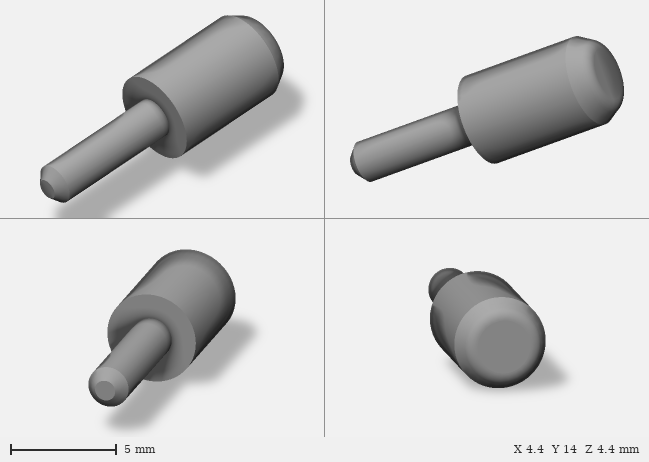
import cadquery as cq
import math


head_diameter = 4.4
head_length = 7.0
taper_length = 1.0
taper_angle = 30.0
nose_radius = 0.6

shank_diameter = 2.0
shank_length = 7.0
tip_chamfer = 0.5


def make_head():
    """Cylinder with a tapered lead-in that is rounded into its flat end."""
    head_radius = head_diameter / 2
    taper_depth = taper_length * math.tan(math.radians(taper_angle))
    flat_end_radius = head_radius - taper_depth
    profile = (
        cq.Workplane("XY")
        .moveTo(0, 0)
        .lineTo(head_radius, 0)
        .lineTo(head_radius, head_length - taper_length)
        .lineTo(flat_end_radius, head_length)
        .lineTo(0, head_length)
        .close()
    )
    head = profile.revolve(360, (0, 0, 0), (0, 1, 0))
    return head.faces(">Y").edges("%CIRCLE").fillet(nose_radius)


def make_shank():
    """Plain cylinder pointing toward -Y with a chamfered tip."""
    shank = cq.Workplane("XZ").circle(shank_diameter / 2).extrude(shank_length)
    return shank.faces("<Y").chamfer(tip_chamfer)


result = make_head().union(make_shank())